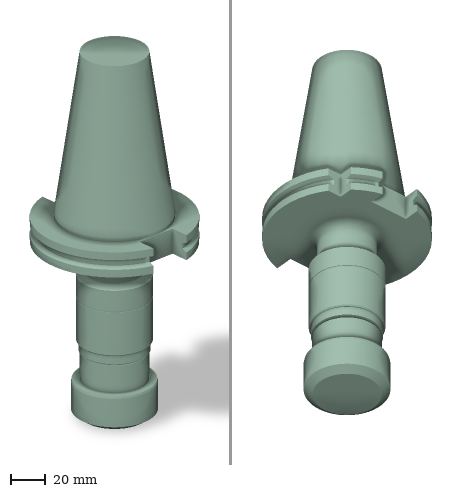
import cadquery as cq

TOTAL_HEIGHT = 231.0
NUT_TOP = 22.9
RELIEF_TOP = 25.6
SPINDLE_TOP = 40.2
COLLAR_BOTTOM = 41.5
BODY_BOTTOM = 47.0
BODY_TOP = 92.0
FLANGE_BOTTOM = 110.1
FLANGE_TOP = 126.0
TAPER_BASE = 128.4

NUT_DIAMETER = 49.9
RELIEF_DIAMETER = 39.7
SPINDLE_DIAMETER = 40.0
SPINDLE_GROOVE_DIAMETER = 34.0
COLLAR_DIAMETER = 41.5
BODY_DIAMETER = 44.0
NECK_DIAMETER = 34.6
FLANGE_DIAMETER = 97.5
TAPER_NECK_DIAMETER = 69.5
TAPER_BASE_DIAMETER = 70.0
TAPER_RATIO = 7 / 24

NUT_CHAMFER_HEIGHT = 3.5
NUT_CHAMFER_DEPTH = 5.0
NUT_TOP_CHAMFER_HEIGHT = 1.5
NUT_TOP_CHAMFER_DEPTH = 0.35
BODY_CHAMFER_HEIGHT = 2.5
BODY_CHAMFER_DEPTH = 3.2
NECK_STEP_HEIGHT = 0.5
NECK_STEP_WIDTH = 0.2
BODY_BOTTOM_CHAMFER = 0.7
NECK_FILLET = 4.6

RING_GROOVE_BOTTOM = 75.0
RING_GROOVE_WIDTH = 1.0
RING_GROOVE_DEPTH = 0.35

GRIPPER_MOUTH = 6.2
GRIPPER_FLOOR = 3.7
GRIPPER_DEPTH = 3.2

KEYWAY_WIDTH = 25.9
LEFT_KEYWAY_FLOOR = 37.2
RIGHT_KEYWAY_FLOOR = 35.0
NOTCH_OFFSET = 29.5


def revolve_profile(profile):
    """Turn a closed (radius, height) outline about the Z axis."""
    return profile.close().revolve(360, (0, 0, 0), (0, 1, 0))


def turned_body():
    nut = NUT_DIAMETER / 2
    relief = RELIEF_DIAMETER / 2
    spindle = SPINDLE_DIAMETER / 2
    spindle_groove = SPINDLE_GROOVE_DIAMETER / 2
    collar = COLLAR_DIAMETER / 2
    body = BODY_DIAMETER / 2
    shoulder = BODY_TOP - NECK_STEP_HEIGHT
    neck = NECK_DIAMETER / 2
    flange = FLANGE_DIAMETER / 2
    taper_neck = TAPER_NECK_DIAMETER / 2
    taper_base = TAPER_BASE_DIAMETER / 2
    taper_tip = taper_base - (TOTAL_HEIGHT - TAPER_BASE) * TAPER_RATIO / 2

    profile = (
        cq.Workplane("XZ")
        .moveTo(0, 0)
        .lineTo(nut - NUT_CHAMFER_DEPTH, 0)
        .lineTo(nut, NUT_CHAMFER_HEIGHT)
        .lineTo(nut, NUT_TOP - NUT_TOP_CHAMFER_HEIGHT)
        .lineTo(nut - NUT_TOP_CHAMFER_DEPTH, NUT_TOP)
        .lineTo(relief, NUT_TOP)
        .lineTo(relief, RELIEF_TOP)
        .lineTo(spindle, RELIEF_TOP)
        .lineTo(spindle, SPINDLE_TOP)
        .lineTo(spindle_groove, SPINDLE_TOP)
        .lineTo(spindle_groove, COLLAR_BOTTOM)
        .lineTo(collar, COLLAR_BOTTOM)
        .lineTo(collar, BODY_BOTTOM)
        .lineTo(body - BODY_BOTTOM_CHAMFER, BODY_BOTTOM)
        .lineTo(body, BODY_BOTTOM + BODY_BOTTOM_CHAMFER)
        .lineTo(body, shoulder - BODY_CHAMFER_HEIGHT)
        .lineTo(body - BODY_CHAMFER_DEPTH, shoulder)
        .lineTo(neck + NECK_STEP_WIDTH, shoulder)
        .lineTo(neck + NECK_STEP_WIDTH, BODY_TOP)
        .lineTo(neck, BODY_TOP)
        .lineTo(neck, FLANGE_BOTTOM - NECK_FILLET)
        .radiusArc((neck + NECK_FILLET, FLANGE_BOTTOM), NECK_FILLET)
        .lineTo(flange, FLANGE_BOTTOM)
        .lineTo(flange, FLANGE_TOP)
        .lineTo(taper_neck, FLANGE_TOP)
        .lineTo(taper_neck, TAPER_BASE)
        .lineTo(taper_base, TAPER_BASE)
        .lineTo(taper_tip, TOTAL_HEIGHT)
        .lineTo(0, TOTAL_HEIGHT)
    )
    return revolve_profile(profile)


def groove_ring(outer_radius, depth, middle, mouth, floor):
    """Ring that cuts a groove, mouth wide at the surface and floor wide at its depth."""
    inner_radius = outer_radius - depth
    profile = (
        cq.Workplane("XZ")
        .moveTo(outer_radius, middle - mouth / 2)
        .lineTo(inner_radius, middle - floor / 2)
        .lineTo(inner_radius, middle + floor / 2)
        .lineTo(outer_radius, middle + mouth / 2)
    )
    return revolve_profile(profile)


def flange_cutter(x_start, x_end, y_start, y_end):
    """Rectangular block through the full thickness of the flange."""
    return (
        cq.Workplane("XY", origin=(0, 0, FLANGE_BOTTOM))
        .moveTo(x_start, y_start)
        .lineTo(x_end, y_start)
        .lineTo(x_end, y_end)
        .lineTo(x_start, y_end)
        .close()
        .extrude(FLANGE_TOP - FLANGE_BOTTOM)
    )


gripper_groove = groove_ring(
    FLANGE_DIAMETER / 2,
    GRIPPER_DEPTH,
    (FLANGE_BOTTOM + FLANGE_TOP) / 2,
    GRIPPER_MOUTH,
    GRIPPER_FLOOR,
)
ring_groove = groove_ring(
    BODY_DIAMETER / 2,
    RING_GROOVE_DEPTH,
    RING_GROOVE_BOTTOM + RING_GROOVE_WIDTH / 2,
    RING_GROOVE_WIDTH,
    RING_GROOVE_WIDTH,
)

half_keyway = KEYWAY_WIDTH / 2
left_keyway = flange_cutter(-FLANGE_DIAMETER, -LEFT_KEYWAY_FLOOR, -half_keyway, half_keyway)
right_keyway = flange_cutter(RIGHT_KEYWAY_FLOOR, FLANGE_DIAMETER, -half_keyway, half_keyway)
notch = flange_cutter(-FLANGE_DIAMETER, -NOTCH_OFFSET, NOTCH_OFFSET, FLANGE_DIAMETER)

result = turned_body()
for cutter in (gripper_groove, ring_groove, left_keyway, right_keyway, notch):
    result = result.cut(cutter)